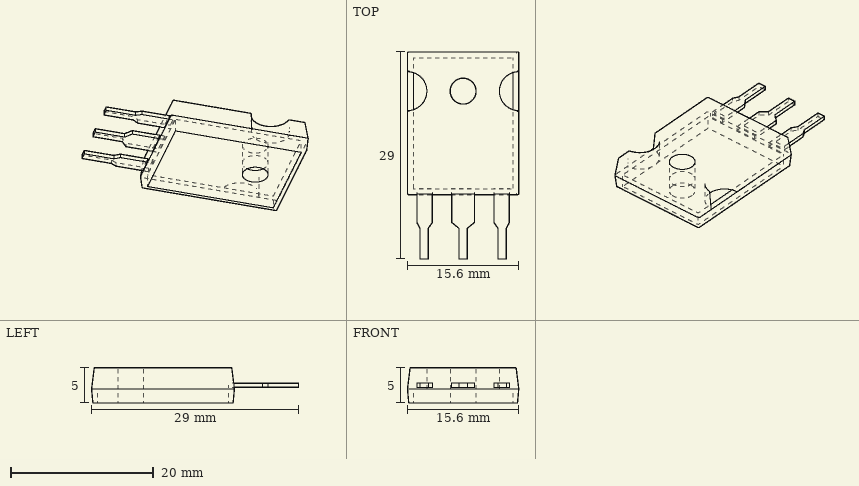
import cadquery as cq
import math

body_width = 15.6
body_length = 20.0
body_height = 5.0
parting_z = 2.0
cover_draft = 7.0
base_draft = 5.0
edge_radius = 0.2

hole_diameter = 3.6
notch_radius = 2.73
hole_from_back = 5.5

plate_width = 13.92
plate_margin = (body_width - plate_width) / 2
plate_length = body_length - 2 * plate_margin

total_length = 29.0
lead_pitch = 5.45
lead_thickness = 0.6
lead_clearance = 0.2
lead_bottom_z = parting_z + lead_clearance
lead_insertion = 0.87
pin_width = 1.2
pin_length = 4.3
shoulder_length = 0.8
outer_root_width = 2.18
middle_root_width = 3.2
outer_root_shift = 0.05

back_y = body_length / 2
front_y = -body_length / 2
hole_y = back_y - hole_from_back
lead_tip_y = back_y - total_length


def drafted_shell(height, draft, direction):
    """Block on the parting plane that narrows away from it, up (1) or down (-1)."""
    inset = height * math.tan(math.radians(draft))
    return (
        cq.Workplane("XY", origin=(0, 0, parting_z))
        .rect(body_width, body_length)
        .workplane(offset=direction * height)
        .rect(body_width - 2 * inset, body_length - 2 * inset)
        .loft(ruled=True)
    )


def mounting_hole():
    return cq.Workplane("XY").center(0, hole_y).circle(hole_diameter / 2).extrude(body_height)


def side_notches():
    return (
        cq.Workplane("XY", origin=(0, hole_y, parting_z))
        .pushPoints([(-body_width / 2, 0), (body_width / 2, 0)])
        .circle(notch_radius)
        .extrude(body_height)
    )


def plate_blank():
    """Plate before its hole is cut; also the shape of the opening in the base."""
    return cq.Workplane("XY").rect(plate_width, plate_length).extrude(parting_z)


def make_plate():
    return plate_blank().cut(mounting_hole())


def make_base():
    shell = drafted_shell(parting_z, base_draft, -1).edges("not >Z").fillet(edge_radius)
    return shell.cut(plate_blank())


def make_lead(pin_x, root_x, root_width):
    """Flat lead: wide root at the package, tapered shoulder, narrow pin."""
    shoulder_end_y = lead_tip_y + pin_length
    shoulder_start_y = shoulder_end_y + shoulder_length
    root_y = front_y + lead_insertion
    return (
        cq.Workplane("XY", origin=(0, 0, lead_bottom_z))
        .moveTo(root_x - root_width / 2, root_y)
        .lineTo(root_x - root_width / 2, shoulder_start_y)
        .lineTo(pin_x - pin_width / 2, shoulder_end_y)
        .lineTo(pin_x - pin_width / 2, lead_tip_y)
        .lineTo(pin_x + pin_width / 2, lead_tip_y)
        .lineTo(pin_x + pin_width / 2, shoulder_end_y)
        .lineTo(root_x + root_width / 2, shoulder_start_y)
        .lineTo(root_x + root_width / 2, root_y)
        .close()
        .extrude(lead_thickness)
    )


def make_leads():
    leads = []
    for side in (-1, 0, 1):
        pin_x = side * lead_pitch
        root_x = side * (lead_pitch - outer_root_shift)
        root_width = outer_root_width if side else middle_root_width
        leads.append(make_lead(pin_x, root_x, root_width))
    return leads


def make_cover(leads):
    """Upper shell with rounded edges, notches, hole and a matching recess for each lead."""
    cover = (
        drafted_shell(body_height - parting_z, cover_draft, 1)
        .cut(side_notches())
        .edges("not <Z")
        .fillet(edge_radius)
        .cut(mounting_hole())
    )
    for lead in leads:
        cover = cover.cut(lead)
    return cover


plate = make_plate()
base = make_base()
leads = make_leads()
cover = make_cover(leads)

result = cq.Compound.makeCompound(
    [cover.val(), base.val(), plate.val(), *[lead.val() for lead in leads]]
)